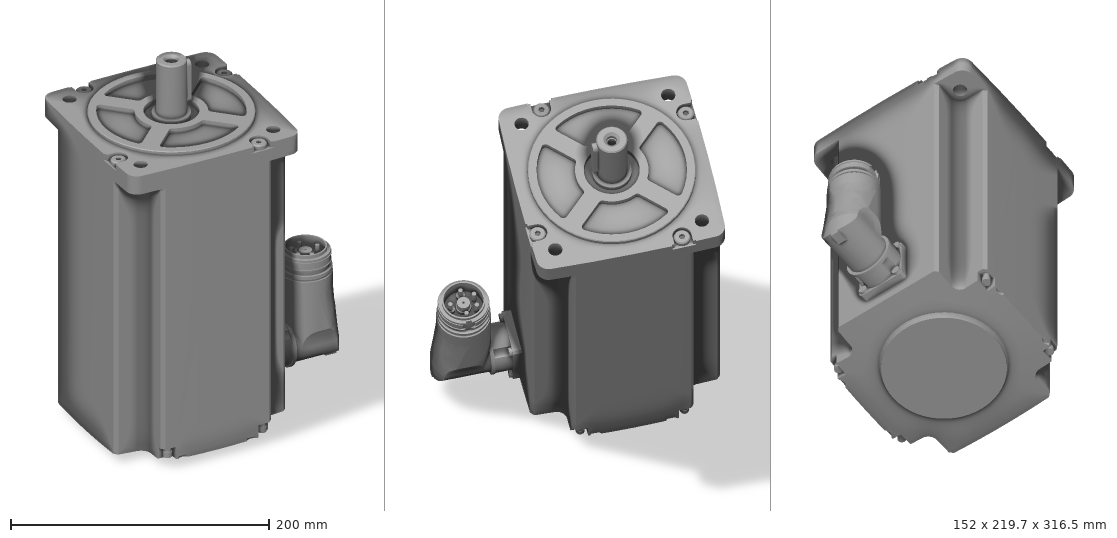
import cadquery as cq
import math

clearance = 3.2

total_height = 316.5
pilot_top = 270.5
flange_top = 267.0
flange_bottom = 251.0
cap_seam = 9.8

half_width = 76.0
side_bulge = 1.3
side_half_length = 65.2
corner_edge = half_width - side_bulge

panel_half_width = 45.0
notch_bevel = 3.5
notch_wall = panel_half_width + notch_bevel
notch_fillet = 8.0

cone_slope = 0.09
cone_height_at_side = 7.0
disc_radius = 48.7
disc_thickness = 2.5
disc_neck_radius = 50.5

mount_hole_diameter = 11.0
mount_hole_offset = 58.2
screw_along = 40.2
screw_out = 68.0
screw_pocket_diameter = 15.0
screw_pocket_depth = 5.5
screw_head_diameter = 12.7
screw_head_height = 4.0
screw_head_chamfer = 1.0
screw_socket_diameter = 5.0
screw_socket_depth = 2.5
screw_relief_width = 19.0
screw_relief_edge = 74.5

pilot_diameter = 130.0
pilot_chamfer = 0.5
pocket_outer_radius = 58.2
pocket_inner_radius = 28.5
pocket_depth = 4.7
pocket_fillet = 3.2
rib_width = 14.2
shaft_recess_diameter = 43.5
shaft_recess_depth = 5.0

shaft_diameter = 24.0
shaft_chamfer = 1.0
shoulder_diameter = 30.7
shoulder_drop = 1.0
key_width = 8.0
key_bottom = 275.7
key_top = 312.5
key_reach = 15.5
centre_sink_diameter = 13.0
centre_bore_diameter = 8.5
centre_bore_depth = 4.7
tap_diameter = 6.5
tap_depth = 19.0

rear_pocket_inner = 36.0
rear_pocket_outer = 48.7
rear_pocket_floor = 67.7
rear_pocket_top = 18.7
rear_screw_x = 71.0
rear_screw_y = 41.5
rear_screw_diameter = 7.0
rear_screw_height = 4.5
rear_shank_diameter = 5.7
scoop_diameter = 10.8
scoop_y = 30.0
scoop_centre_x = 78.8

plug_z = 38.5
plug_base_size = 40.2
plug_base_end = 83.0
plug_base_chamfer = 2.0
plug_collar_start = 97.0
plug_collar_end = 99.7
plug_barrel_diameter = 38.5
plug_corner_offset = 15.8
plug_corner_diameter = 10.0
plug_screw_diameter = 7.0
plug_screw_height = 2.5
elbow_diameter = 34.8
elbow_waist_top = 53.2
elbow_flare_radius = 29.8
foot_width = 6.3
foot_bottom = 18.5
foot_start = 133.5
tower_y = 117.7
tower_radius = 21.2
tower_top = 98.0
tower_taper_top = 85.5
tower_back = 143.7
tower_foot_flank = 14.2
tower_top_flank = 0.3
socket_radius = 15.5
socket_floor = 106.7
socket_rim = 119.3
socket_shoulder = 116.5
socket_lip_radius = 16.8
socket_barrel_radius = 19.5
socket_bead_radius = 20.3
socket_bead_height = 1.0
socket_bead_heights = (107.5, 114.0)
socket_neck_radius = 18.7
flange_ring_radius = 21.0
flange_ring_bottom = 100.0
flange_ring_top = 103.0
contact_root = socket_floor - 0.5
latch_flat = 17.7
latch_diameter = 11.0
latch_z = 111.5
latch_stem_width = 4.5
latch_stem_bottom = 103.0
core_diameter = 10.0
core_bore = 2.0
core_top = 115.5
core_collar_diameter = 12.0
pin_circle_radius = 10.5
pin_diameter = 3.5
pin_top = 117.0
sleeve_diameter = 7.0
sleeve_top = 109.8
lower_pin_x = 5.0
lower_pin_y = 9.5


def cylinder(diameter, bottom, top, x=0, y=0):
    """Upright cylinder between two heights."""
    return cq.Workplane("XY", origin=(x, y, bottom)).circle(diameter / 2).extrude(top - bottom)


def lying_cylinder(diameter, start, end, x=0, z=plug_z):
    """Cylinder along Y between two Y positions."""
    return cq.Workplane("XZ", origin=(x, start, z)).circle(diameter / 2).extrude(start - end)


def block(x_range, y_range, z_range):
    """Box given by its limits on each axis."""
    sizes = [high - low for low, high in (x_range, y_range, z_range)]
    corner = (x_range[0], y_range[0], z_range[0])
    return cq.Workplane("XY").box(*sizes, centered=False).translate(corner)


def around_axis(shape, count=4):
    """Copies of a shape, evenly turned about the motor axis, as one body."""
    combined = shape
    for turn in range(1, count):
        combined = combined.union(shape.rotate((0, 0, 0), (0, 0, 1), turn * 360 / count))
    return combined


def bulged_square(bottom, top):
    """Square prism with bulged sides and rounded corners."""
    a = side_half_length
    b = corner_edge
    mid_corner = a + (b - a) * math.sqrt(0.5)
    return (
        cq.Workplane("XY", origin=(0, 0, bottom))
        .moveTo(-a, -b)
        .threePointArc((0, -half_width), (a, -b))
        .threePointArc((mid_corner, -mid_corner), (b, -a))
        .threePointArc((half_width, 0), (b, a))
        .threePointArc((mid_corner, mid_corner), (a, b))
        .threePointArc((0, half_width), (-a, b))
        .threePointArc((-mid_corner, mid_corner), (-b, a))
        .threePointArc((-half_width, 0), (-b, -a))
        .threePointArc((-mid_corner, -mid_corner), (-a, -b))
        .close()
        .extrude(top - bottom)
    )


def corner_notch():
    """Lengthwise notch with bevelled mouths and a rounded inner corner."""
    arc_end = notch_wall + notch_fillet
    arc_middle = arc_end - notch_fillet * math.sqrt(0.5)
    bevel_end = half_width - notch_bevel
    outside = half_width + clearance
    return (
        cq.Workplane("XY")
        .moveTo(panel_half_width, outside)
        .lineTo(panel_half_width, half_width)
        .lineTo(notch_wall, bevel_end)
        .lineTo(notch_wall, arc_end)
        .threePointArc((arc_middle, arc_middle), (arc_end, notch_wall))
        .lineTo(bevel_end, notch_wall)
        .lineTo(half_width, panel_half_width)
        .lineTo(outside, panel_half_width)
        .lineTo(outside, outside)
        .close()
        .extrude(flange_bottom)
    )


def rear_envelope():
    """Turned body that limits the housing to its coned rear end."""
    radius = 2 * half_width
    neck_height = cone_height_at_side + cone_slope * (disc_neck_radius - half_width)
    rim_height = cone_height_at_side + cone_slope * (radius - half_width)
    return (
        cq.Workplane("XZ")
        .polyline([
            (0, 0),
            (disc_radius, 0),
            (disc_radius, disc_thickness),
            (disc_neck_radius, neck_height),
            (radius, rim_height),
            (radius, flange_top),
            (0, flange_top),
        ])
        .close()
        .revolve(360, (0, 0), (0, 1))
    )


def cut_rear_screws(body):
    """Four open pockets with screws, and four shallow scoops beside them."""
    for x_sign in (-1, 1):
        for y_sign in (-1, 1):
            x_range = sorted((x_sign * rear_pocket_floor, x_sign * (half_width + clearance)))
            y_range = sorted((y_sign * rear_pocket_inner, y_sign * rear_pocket_outer))
            place = (x_sign * rear_screw_x, y_sign * rear_screw_y)
            head_top = cap_seam + rear_screw_height
            body = body.cut(block(x_range, y_range, (0, rear_pocket_top)))
            body = body.union(cylinder(rear_screw_diameter, cap_seam, head_top, *place))
            body = body.union(cylinder(rear_shank_diameter, head_top, rear_pocket_top, *place))
            scoop_place = (x_sign * scoop_centre_x, y_sign * scoop_y)
            body = body.cut(cylinder(scoop_diameter, 0, cap_seam, *scoop_place))
    return body


def cut_mounting_holes(body):
    hole = cylinder(mount_hole_diameter, flange_bottom, flange_top, mount_hole_offset, mount_hole_offset)
    return body.cut(around_axis(hole))


def cut_flange_screws(body):
    """Socket-head screws sunk in pockets that open to the flange sides."""
    place = (screw_along, -screw_out)
    floor = flange_top - screw_pocket_depth
    half_pocket = screw_pocket_diameter / 2
    half_relief = screw_relief_width / 2
    outside = -half_width - clearance
    pocket = cylinder(screw_pocket_diameter, floor, flange_top, *place)
    mouth = block(
        (screw_along - half_pocket, screw_along + half_pocket), (outside, -screw_out), (floor, flange_top)
    )
    relief = block(
        (screw_along - half_relief, screw_along + half_relief),
        (outside, -screw_relief_edge),
        (floor, flange_top),
    )
    head_top = floor + screw_head_height
    head = cylinder(screw_head_diameter, floor, head_top, *place)
    head = head.faces(">Z").edges().chamfer(screw_head_chamfer)
    socket = (
        cq.Workplane("XY", origin=(*place, head_top))
        .polygon(6, screw_socket_diameter)
        .extrude(-screw_socket_depth)
    )
    body = body.cut(around_axis(pocket.union(mouth).union(relief)))
    return body.union(around_axis(head.cut(socket)))


def pilot_pocket():
    """Sector pocket between two diagonal ribs, with rounded corners."""
    floor = pilot_top - pocket_depth
    ring = cylinder(2 * pocket_outer_radius, floor, pilot_top)
    ring = ring.cut(cylinder(2 * pocket_inner_radius, floor, pilot_top))
    rib_shift = rib_width * math.sqrt(0.5)
    reach = pocket_outer_radius * 2
    wedge = (
        cq.Workplane("XY", origin=(0, 0, floor))
        .polyline([(0, rib_shift), (reach, reach + rib_shift), (-reach, reach + rib_shift)])
        .close()
        .extrude(pocket_depth)
    )
    return ring.intersect(wedge).edges("|Z").fillet(pocket_fillet)


def make_pilot():
    pilot = cylinder(pilot_diameter, flange_top, pilot_top)
    return pilot.faces(">Z").edges().chamfer(pilot_chamfer)


def cut_pilot_recesses(body):
    body = body.cut(around_axis(pilot_pocket()))
    return body.cut(cylinder(shaft_recess_diameter, pilot_top - shaft_recess_depth, pilot_top))


def make_shaft():
    """Stepped shaft with a round-ended key and a centre hole."""
    root = pilot_top - shaft_recess_depth
    shaft = cylinder(shaft_diameter, root, total_height).faces(">Z").edges().chamfer(shaft_chamfer)
    shaft = shaft.union(cylinder(shoulder_diameter, root, pilot_top - shoulder_drop))
    key = (
        cq.Workplane("XZ", origin=(0, 0, (key_bottom + key_top) / 2))
        .slot2D(key_top - key_bottom, key_width, 90)
        .extrude(-key_reach)
    )
    sink_depth = (centre_sink_diameter - centre_bore_diameter) / 2
    tip_depth = tap_depth + tap_diameter / 2
    centre_hole = (
        cq.Workplane("XZ", origin=(0, 0, total_height))
        .polyline([
            (0, 0),
            (centre_sink_diameter / 2, 0),
            (centre_bore_diameter / 2, -sink_depth),
            (centre_bore_diameter / 2, -centre_bore_depth),
            (tap_diameter / 2, -centre_bore_depth),
            (tap_diameter / 2, -tap_depth),
            (0, -tip_depth),
        ])
        .close()
        .revolve(360, (0, 0), (0, 1))
    )
    return shaft.union(key).cut(centre_hole)


def connector_mount():
    """Square base, barrel with four screw reliefs, and round collar."""
    half = plug_base_size / 2
    base = block((-half, half), (half_width - clearance, plug_base_end), (plug_z - half, plug_z + half))
    base = base.edges("|Y").chamfer(plug_base_chamfer)
    barrel = lying_cylinder(plug_barrel_diameter, plug_base_end, plug_collar_start)
    mount = base
    for x in (-plug_corner_offset, plug_corner_offset):
        for z in (plug_z - plug_corner_offset, plug_z + plug_corner_offset):
            barrel = barrel.cut(lying_cylinder(plug_corner_diameter, plug_base_end, plug_collar_start, x, z))
            screw_end = plug_base_end + plug_screw_height
            mount = mount.union(lying_cylinder(plug_screw_diameter, plug_base_end, screw_end, x, z))
    collar = lying_cylinder(plug_base_size, plug_collar_start, plug_collar_end)
    return mount.union(barrel).union(collar)


def tower_outline(plane, flank_length, back_depth):
    """Tower section: round front, two straight flanks and an arched back."""
    r = tower_radius
    return (
        plane.moveTo(r, flank_length)
        .threePointArc((0, flank_length + back_depth), (-r, flank_length))
        .lineTo(-r, 0)
        .threePointArc((0, -r), (r, 0))
        .close()
    )


def elbow_waist():
    """Cross-section along Y: half-round barrel whose flanks flare out to the tower width."""
    r = elbow_diameter / 2
    rise = elbow_waist_top - plug_z
    flare = elbow_flare_radius - math.sqrt(elbow_flare_radius**2 - rise**2)
    half_flare = elbow_flare_radius - math.sqrt(elbow_flare_radius**2 - (rise / 2) ** 2)
    return (
        cq.Workplane("XZ", origin=(0, plug_collar_end - clearance, plug_z))
        .moveTo(r, 0)
        .threePointArc((r + half_flare, rise / 2), (r + flare, rise))
        .lineTo(-r - flare, rise)
        .threePointArc((-r - half_flare, rise / 2), (-r, 0))
        .threePointArc((0, -r), (r, 0))
        .close()
        .extrude(plug_collar_end - tower_back - 2 * clearance)
    )


def elbow():
    """Upright tower widening backwards, with a narrow waist above a round-bottomed barrel."""
    tower = cylinder(2 * tower_radius, tower_taper_top, tower_top, 0, tower_y)
    back_depth = tower_back - tower_y - tower_foot_flank
    lower = tower_outline(
        cq.Workplane("XY", origin=(0, tower_y, plug_z)), tower_foot_flank, back_depth
    )
    taper = tower_outline(
        lower.workplane(offset=tower_taper_top - plug_z), tower_top_flank, tower_radius - tower_top_flank
    ).loft(ruled=True)
    base = tower_outline(
        cq.Workplane("XY", origin=(0, tower_y, 0)), tower_foot_flank, back_depth
    ).extrude(plug_z)
    step = plug_z - elbow_diameter / 2 - foot_bottom
    foot = (
        cq.Workplane("YZ", origin=(-foot_width / 2, 0, 0))
        .polyline([
            (foot_start - step, foot_bottom + step),
            (foot_start, foot_bottom),
            (tower_back + clearance, foot_bottom),
            (tower_back + clearance, plug_z),
            (foot_start - step, plug_z),
        ])
        .close()
        .extrude(foot_width)
    )
    above_waist = block(
        (-2 * tower_radius, 2 * tower_radius),
        (plug_collar_end - clearance, tower_back + clearance),
        (elbow_waist_top, tower_taper_top),
    )
    upper = taper.intersect(elbow_waist().union(above_waist))
    lower_body = base.intersect(elbow_waist().union(foot))
    neck = lying_cylinder(elbow_diameter, plug_collar_end, tower_y)
    return tower.union(upper).union(lower_body).union(neck)


def socket_shell():
    """Hollow stepped plug end with two beads, with a latch recess in its -X side."""
    half_bead = socket_bead_height / 2
    bead_points = []
    for height in socket_bead_heights:
        bead_points += [
            (socket_barrel_radius, height - half_bead),
            (socket_bead_radius, height - half_bead),
            (socket_bead_radius, height + half_bead),
            (socket_barrel_radius, height + half_bead),
        ]
    profile = [
        (0, tower_top),
        (socket_barrel_radius, tower_top),
        (socket_barrel_radius, flange_ring_bottom),
        (flange_ring_radius, flange_ring_bottom),
        (flange_ring_radius, flange_ring_top),
        (socket_neck_radius, flange_ring_top),
        (socket_neck_radius, socket_bead_heights[0] - half_bead),
        *bead_points,
        (socket_barrel_radius, socket_shoulder),
        (socket_lip_radius, socket_shoulder),
        (socket_lip_radius, socket_rim),
        (0, socket_rim),
    ]
    shell = (
        cq.Workplane("XZ", origin=(0, tower_y, 0))
        .polyline(profile)
        .close()
        .revolve(360, (0, 0), (0, 1))
    )
    shell = shell.cut(cylinder(2 * socket_radius, socket_floor, socket_rim, 0, tower_y))
    latch = (
        cq.Workplane("YZ", origin=(-latch_flat, tower_y, latch_z))
        .circle(latch_diameter / 2)
        .extrude(-tower_radius)
    )
    half_stem = latch_stem_width / 2
    stem = block(
        (-latch_flat - tower_radius, -latch_flat),
        (tower_y - half_stem, tower_y + half_stem),
        (latch_stem_bottom, latch_z),
    )
    return shell.cut(latch).cut(stem)


def socket_contacts():
    """Bored centre core, three sleeved pins and two plain pins."""
    contacts = cylinder(core_diameter, contact_root, core_top, 0, tower_y)
    contacts = contacts.union(cylinder(core_collar_diameter, contact_root, sleeve_top, 0, tower_y))
    contacts = contacts.cut(cylinder(core_bore, socket_floor, core_top, 0, tower_y))
    sleeved = [(-pin_circle_radius, 0), (0, pin_circle_radius), (pin_circle_radius, 0)]
    plain = [(-lower_pin_x, -lower_pin_y), (lower_pin_x, -lower_pin_y)]
    for x, y in sleeved:
        contacts = contacts.union(cylinder(sleeve_diameter, contact_root, sleeve_top, x, tower_y + y))
    for x, y in sleeved + plain:
        contacts = contacts.union(cylinder(pin_diameter, contact_root, pin_top, x, tower_y + y))
    return contacts


body = bulged_square(0, flange_top).cut(around_axis(corner_notch()))
body = body.intersect(rear_envelope())
body = cut_rear_screws(body)
body = cut_mounting_holes(body)
body = cut_flange_screws(body)
body = body.union(make_pilot())
body = cut_pilot_recesses(body)
body = body.union(make_shaft())

connector = connector_mount().union(elbow()).union(socket_shell()).union(socket_contacts())
result = body.union(connector)